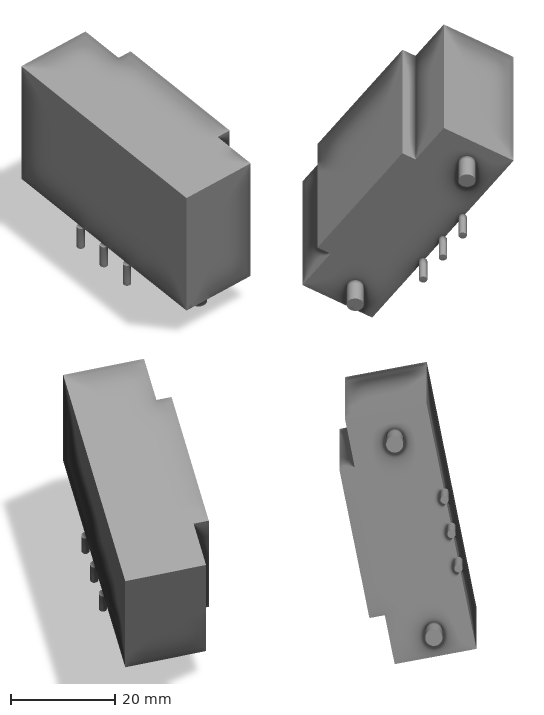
import cadquery as cq

housing_width = 50.0
housing_depth = 16.0
housing_height = 28.7

plate_width = 30.0
plate_depth = 3.0

pin_length = 5.1
thin_pin_diameter = 1.6
thin_pin_pitch = 7.0
thin_pin_y = 0.0
thick_pin_diameter = 3.3
thick_pin_spacing = 39.5
thick_pin_y = 7.3


def make_block(width, depth, height, front_y):
    """Upright block centred on X, standing on Z = 0."""
    return cq.Workplane("XY").box(width, depth, height, centered=(True, False, False)).translate((0, front_y, 0))


def make_pin(diameter, x, y):
    """Round pin reaching down from the underside of the housing."""
    return cq.Workplane("XY").center(x, y).circle(diameter / 2).extrude(-pin_length)


housing = make_block(housing_width, housing_depth, housing_height, 0)
rear_plate = make_block(plate_width, plate_depth, housing_height, housing_depth)

thin_pins = []
for step in (-1, 0, 1):
    thin_pins.append(make_pin(thin_pin_diameter, step * thin_pin_pitch, thin_pin_y).val())

thick_pins = []
for side in (-1, 1):
    thick_pins.append(make_pin(thick_pin_diameter, side * thick_pin_spacing / 2, thick_pin_y).val())

result = cq.Compound.makeCompound([housing.val(), rear_plate.val(), *thin_pins, *thick_pins])